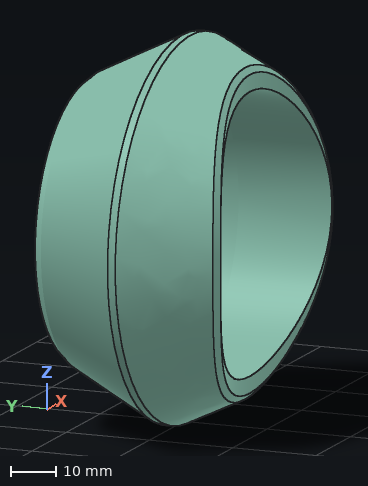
import cadquery as cq
import math

overall_depth = 44.8
rim_radius = 44.05
rim_start_depth = 22.3
rim_end_depth = 24.1

end_outer_radius = 32.2
end_bore_radius = 30.05
end_bevel_radius = 33.9
end_bevel_depth = 2.1

bore_radius = 32.4
bore_cone_depth = 22.3

saddle_radius = 85.9
saddle_crown_depth = 38.3

cone_slope = 0.48
bevel_cut_radius = 95.2
bevel_crown_depth = 37.2
bevel_crown_width = 1.5
bevel_side_width = 1.9

edge_points = 48
solve_steps = 20

flat_end_y = overall_depth / 2


def circle_edge(radius, depth):
    """Full circle about the Y axis, starting on +X and turning toward +Z."""
    plane = cq.Plane(origin=(0, flat_end_y - depth, 0), xDir=(1, 0, 0), normal=(0, -1, 0))
    return cq.Edge.makeCircle(radius).located(cq.Location(plane))


def arched_depth(x, crown_depth, arch_radius):
    """Depth at x of a cylinder parallel to Z that is shallowest at x = 0."""
    return crown_depth + arch_radius - math.sqrt(arch_radius**2 - x**2)


def bevel_outer_radius(angle):
    """Radius where the front cone meets the outer side of the bevel, by iteration."""
    radius = rim_radius
    for _ in range(solve_steps):
        depth = arched_depth(radius * math.cos(angle), bevel_crown_depth, bevel_cut_radius)
        radius = rim_radius - cone_slope * (depth - rim_end_depth)
    return radius


def bevel_inner_radius(angle):
    """Radius of the bevel's inner side; its width varies smoothly around the ring."""
    width = bevel_crown_width + (bevel_side_width - bevel_crown_width) * math.cos(angle) ** 2
    return bevel_outer_radius(angle) - width


def saddle_bore_radius(angle):
    """The bore meets the saddle face at the same radius all round."""
    return bore_radius


def arched_edge(radius_at, crown_depth, arch_radius):
    """Closed curve on an arched cylinder, with its radius given for each angle."""
    angles = [2 * math.pi * i / edge_points for i in range(edge_points + 1)]
    points = []
    for angle in angles[:-1]:
        radius = radius_at(angle)
        x = radius * math.cos(angle)
        y = flat_end_y - arched_depth(x, crown_depth, arch_radius)
        points.append(cq.Vector(x, y, radius * math.sin(angle)))
    return cq.Edge.makeSpline(points, periodic=True, parameters=angles)


edges = [
    circle_edge(end_outer_radius, 0),
    circle_edge(end_bevel_radius, end_bevel_depth),
    circle_edge(rim_radius, rim_start_depth),
    circle_edge(rim_radius, rim_end_depth),
    arched_edge(bevel_outer_radius, bevel_crown_depth, bevel_cut_radius),
    arched_edge(bevel_inner_radius, saddle_crown_depth, saddle_radius),
    arched_edge(saddle_bore_radius, saddle_crown_depth, saddle_radius),
    circle_edge(bore_radius, bore_cone_depth),
    circle_edge(end_bore_radius, 0),
]

next_edges = edges[1:] + edges[:1]
faces = [cq.Face.makeRuledSurface(edge, following) for edge, following in zip(edges, next_edges)]
body = cq.Solid.makeSolid(cq.Shell.makeShell(faces)).fix()
result = cq.Workplane("XY").newObject([body])